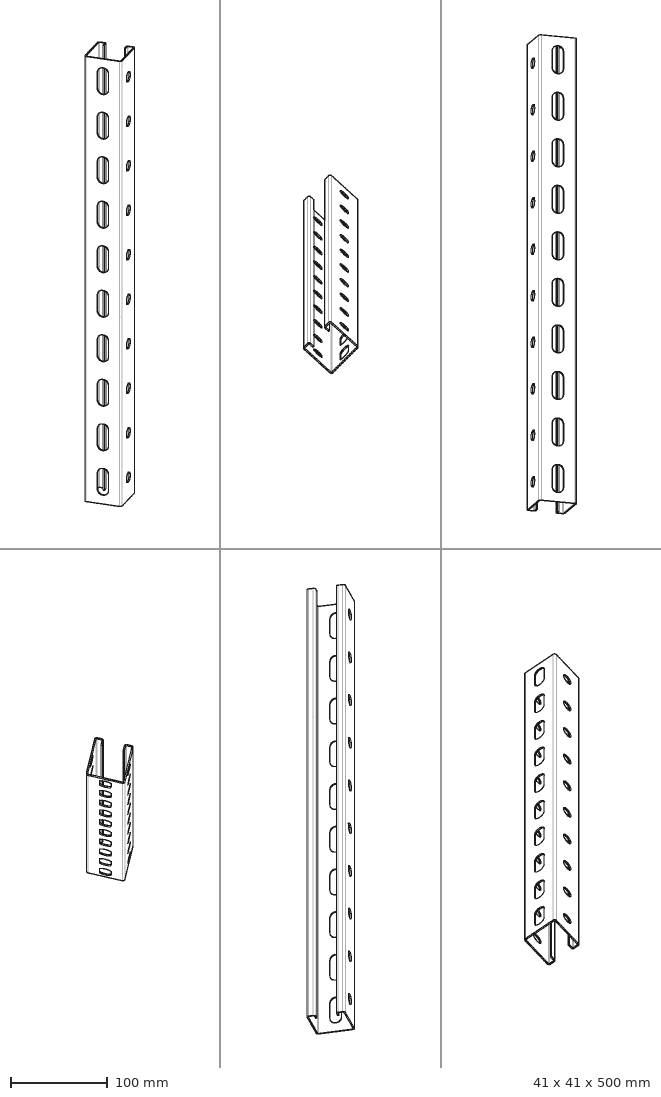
import cadquery as cq

length = 500.0
width = 41.0
depth = 41.0
thickness = 1.5
bend_radius = 2.25

opening = 22.0
lip_depth = 7.0

pitch = 50.0
back_slot_length = 30.0
back_slot_width = 12.5
side_slot_length = 12.0
side_slot_width = 10.5
row_count = round(length / pitch)


def mirrored(points):
    """Section points reflected to the -X side, in reverse order."""
    return [(-x, y) for x, y in reversed(points)]


def round_long_edges(body, corners, radius):
    """Fillet the long edges at the given section corners and at their mirror images."""
    edges = cq.Workplane("XY")
    for x, y in corners + mirrored(corners):
        edges = edges.add(body.edges(cq.NearestToPointSelector((x, y, length / 2))))
    return body.newObject(edges.vals()).fillet(radius)


def channel():
    """Bent sheet of constant thickness: a sharp-cornered extrusion whose bends are then rounded."""
    side_x = width / 2
    front_y = depth / 2
    lip_x = opening / 2
    lip_end_y = front_y - lip_depth

    outside_bends = [(side_x, -front_y), (side_x, front_y), (lip_x, front_y)]
    lip_end = [(lip_x, lip_end_y), (lip_x + thickness, lip_end_y)]
    inside_bends = [
        (lip_x + thickness, front_y - thickness),
        (side_x - thickness, front_y - thickness),
        (side_x - thickness, thickness - front_y),
    ]
    half_section = outside_bends + lip_end + inside_bends
    section = half_section + mirrored(half_section)

    body = cq.Workplane("XY").polyline(section).close().extrude(length)
    body = round_long_edges(body, outside_bends, bend_radius)
    return round_long_edges(body, inside_bends, bend_radius - thickness)


def perforation_rows(plane):
    """Centres of all perforation rows, evenly spaced along the length on an upright plane."""
    return plane.center(0, length / 2).rarray(5, pitch, 1, row_count)


def back_slots():
    """Lengthwise slots through the -Y wall only."""
    back_face = cq.Workplane("XZ", origin=(0, -depth / 2, 0))
    return perforation_rows(back_face).slot2D(back_slot_length, back_slot_width, 90).extrude(-depth / 2)


def side_slots():
    """Short slots, longer along Y, straight through both X walls and level with the back slots."""
    rows = perforation_rows(cq.Workplane("YZ"))
    return rows.slot2D(side_slot_length, side_slot_width).extrude(width, both=True)


result = channel().cut(back_slots()).cut(side_slots())